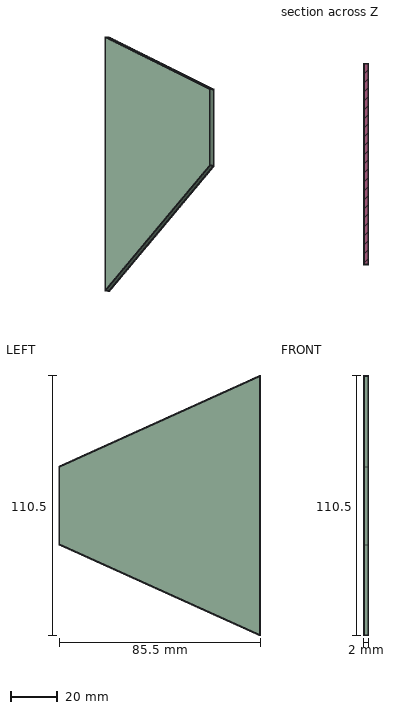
import cadquery as cq

thickness = 2.0
depth = 85.5
long_edge = 110.5
short_edge = 33.2

outline = [
    (-depth / 2, -long_edge / 2),
    (depth / 2, -short_edge / 2),
    (depth / 2, short_edge / 2),
    (-depth / 2, long_edge / 2),
]

result = cq.Workplane("YZ").polyline(outline).close().extrude(thickness / 2, both=True)